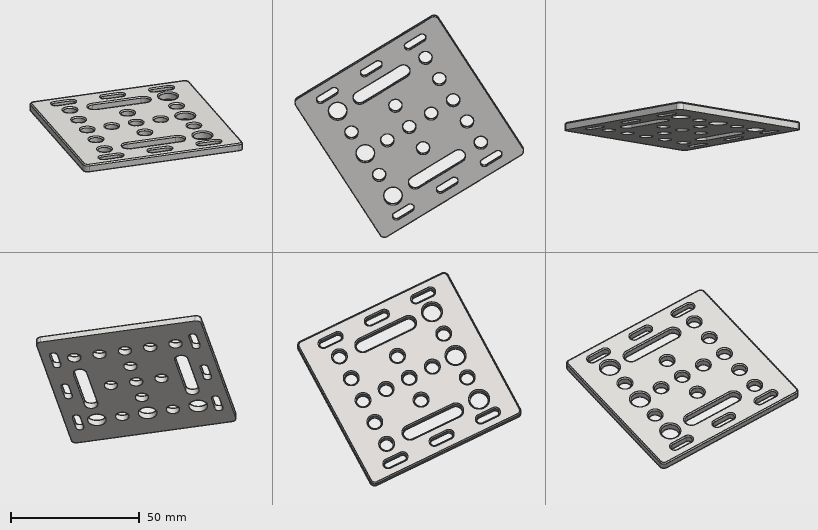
import cadquery as cq

side = 65.5
thickness = 3.0
corner_radius = 1.95
edge_chamfer = 0.5

pitch = 10.1
small_hole_diameter = 5.2
large_hole_diameter = 7.2

long_slot_length = 25.2
long_slot_width = 5.2
short_slot_length = 9.4
short_slot_width = 3.1
short_slot_x = 27.7

large_hole_cells = [(column, 2) for column in (-2, 0, 2)]
small_hole_cells = (
    [(column, 2) for column in (-1, 1)]
    + [(column, 0) for column in (-1, 0, 1)]
    + [(0, row) for row in (-1, 1)]
    + [(column, -2) for column in (-2, -1, 0, 1, 2)]
)


def grid_points(cells):
    return [(column * pitch, row * pitch) for column, row in cells]


def hole_cutters(points, diameter):
    return cq.Workplane("XY").pushPoints(points).circle(diameter / 2).extrude(thickness)


def slot_cutters(points, length, width):
    return cq.Workplane("XY").pushPoints(points).slot2D(length, width, 90).extrude(thickness)


plate = cq.Workplane("XY").rect(side, side).extrude(thickness)
plate = plate.edges("|Z").fillet(corner_radius)

plate = plate.cut(hole_cutters(grid_points(large_hole_cells), large_hole_diameter))
plate = plate.cut(hole_cutters(grid_points(small_hole_cells), small_hole_diameter))

long_slot_points = grid_points([(-2, 0), (2, 0)])
short_slot_points = [(x, row * pitch) for x in (-short_slot_x, short_slot_x) for row in (-2, 0, 2)]
plate = plate.cut(slot_cutters(long_slot_points, long_slot_length, long_slot_width))
plate = plate.cut(slot_cutters(short_slot_points, short_slot_length, short_slot_width))

result = plate.faces(">Z").edges().chamfer(edge_chamfer)